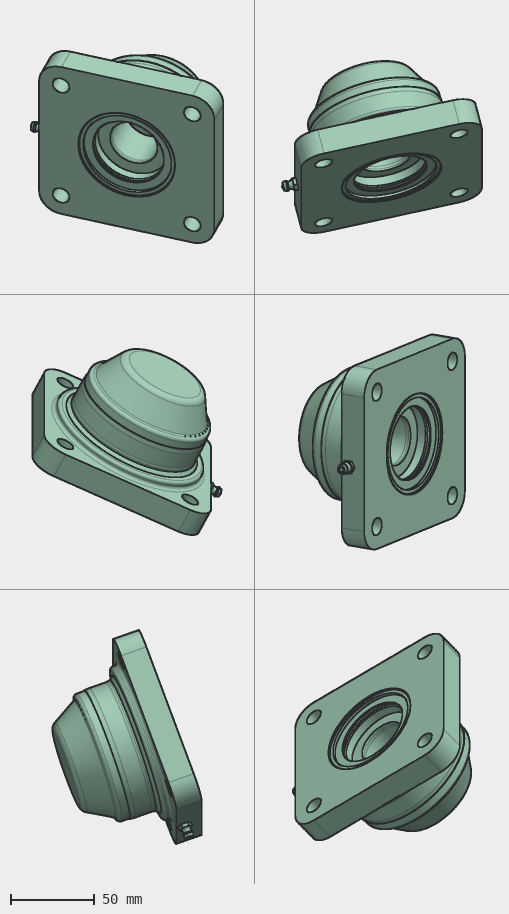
import cadquery as cq
import math


FLANGE_SIDE = 111.0
FLANGE_THICKNESS = 16.1
FLANGE_CORNER_RADIUS = 14.0
BOLT_SPACING = 83.0
BOLT_HOLE_DIAMETER = 10.5

COLLAR_RADIUS = 48.5
COLLAR_END = 21.4
COLLAR_FOOT_FILLET = 2.3
COLLAR_RIM_FILLET = 2.0
BARREL_RADIUS = 41.0
BARREL_TAPER_START = 37.0
BARREL_END = 40.1
BARREL_END_RADIUS = 40.8
BAND_RADIUS = 41.3
BAND_START = 23.6
BAND_EDGE = 25.0
BAND_END = 26.5

SEAT_RADIUS = 30.2
SEAT_CHAMFER = 0.5

SEAL_RIM_DEPTH = 1.0
SEAL_FACE_DEPTH = 2.9
SEAL_BACK_DEPTH = 3.8
SEAL_FACE_RADIUS = 28.0
SEAL_HOLE_RADIUS = 22.5

RING_FRONT = 5.9
RING_MOUTH_RADIUS = SEAL_HOLE_RADIUS
RING_MOUTH_CHAMFER = 0.8
RING_SHOULDER_DEPTH = 12.5
RING_LIP_RADIUS = 15.0
RING_LIP_END = 14.2
RING_BORE_RADIUS = 15.2
RING_BORE_START = 16.1

CAP_RADIUS = 40.5
CAP_SHOULDER = 47.4
CAP_END = 65.8
CAP_CONE_BASE_RADIUS = 37.5
CAP_CONE_ANGLE = 30
CAP_SHOULDER_FILLET = 2.4
CAP_ROOT_FILLET = 1.5
CAP_NOSE_FILLET = 5.4
CAP_SPIGOT_CHAMFER = 2.2

NIPPLE_Y = 10.9
NIPPLE_Z = -3.0
NIPPLE_LENGTH = 120 - FLANGE_SIDE
HEX_ACROSS_FLATS = 7.2
HEX_HEIGHT = 2.3
HEX_CHAMFER_ANGLE = 30
NECK_RADIUS = 2.3
NECK_FOOT_RADIUS = 3.4
HEAD_BACK = 5.4
HEAD_BACK_RADIUS = 2.9
HEAD_RIDGE = 6.4
HEAD_RIDGE_RADIUS = 3.2
HEAD_FRONT = 8.3
HEAD_FRONT_RADIUS = 2.5
TIP_RADIUS = 1.3


def turned(points):
    """Revolve a closed (radius, y) outline about the Y axis."""
    return cq.Workplane("XY").polyline(points).close().revolve(360, (0, 0, 0), (0, 1, 0))


def fillet_circle(body, radius, y, fillet):
    """Round the circular edge of the given radius that lies at height y on the shaft axis."""
    def is_wanted(edge):
        if edge.geomType() != "CIRCLE":
            return False
        same_radius = math.isclose(edge.radius(), radius, abs_tol=0.001)
        return same_radius and math.isclose(edge.arcCenter().y, y, abs_tol=0.001)

    edges = [edge for edge in body.edges().vals() if is_wanted(edge)]
    return cq.Workplane(body.val().fillet(fillet, edges))


def make_flange():
    return (
        cq.Workplane("XZ")
        .rect(FLANGE_SIDE, FLANGE_SIDE)
        .extrude(-FLANGE_THICKNESS)
        .edges("|Y")
        .fillet(FLANGE_CORNER_RADIUS)
    )


def make_boss():
    """Collar, 45 degree shoulder, raised band and slightly tapered barrel, in one turning."""
    shoulder_foot_radius = BAND_RADIUS + BAND_START - COLLAR_END
    return turned([
        (0, 0),
        (COLLAR_RADIUS, 0),
        (COLLAR_RADIUS, COLLAR_END),
        (shoulder_foot_radius, COLLAR_END),
        (BAND_RADIUS, BAND_START),
        (BAND_RADIUS, BAND_EDGE),
        (BARREL_RADIUS, BAND_END),
        (BARREL_RADIUS, BARREL_TAPER_START),
        (BARREL_END_RADIUS, BARREL_END),
        (0, BARREL_END),
    ])


def make_housing():
    housing = make_flange().union(make_boss())
    housing = fillet_circle(housing, COLLAR_RADIUS, FLANGE_THICKNESS, COLLAR_FOOT_FILLET)
    housing = fillet_circle(housing, COLLAR_RADIUS, COLLAR_END, COLLAR_RIM_FILLET)
    seat = turned([
        (0, 0),
        (SEAT_RADIUS + SEAT_CHAMFER, 0),
        (SEAT_RADIUS, SEAT_CHAMFER),
        (SEAT_RADIUS, BARREL_END),
        (0, BARREL_END),
    ])
    bolt_holes = (
        cq.Workplane("XZ")
        .rect(BOLT_SPACING, BOLT_SPACING, forConstruction=True)
        .vertices()
        .circle(BOLT_HOLE_DIAMETER / 2)
        .extrude(-FLANGE_THICKNESS)
    )
    return housing.cut(seat).cut(bolt_holes)


def make_seal():
    """Ring with a raised outer rim around its recessed face."""
    return turned([
        (SEAL_HOLE_RADIUS, SEAL_FACE_DEPTH),
        (SEAL_FACE_RADIUS, SEAL_FACE_DEPTH),
        (SEAL_FACE_RADIUS, SEAL_RIM_DEPTH),
        (SEAT_RADIUS, SEAL_RIM_DEPTH),
        (SEAT_RADIUS, SEAL_BACK_DEPTH),
        (SEAL_HOLE_RADIUS, SEAL_BACK_DEPTH),
    ])


def make_bearing():
    """Ring that fills the seat, with a chamfered mouth, a shoulder and a lip around the through bore."""
    return turned([
        (RING_MOUTH_RADIUS + RING_MOUTH_CHAMFER, RING_FRONT),
        (SEAT_RADIUS, RING_FRONT),
        (SEAT_RADIUS, BARREL_END),
        (RING_BORE_RADIUS, BARREL_END),
        (RING_BORE_RADIUS, RING_BORE_START),
        (RING_LIP_RADIUS, RING_LIP_END),
        (RING_LIP_RADIUS, RING_SHOULDER_DEPTH),
        (RING_MOUTH_RADIUS, RING_SHOULDER_DEPTH),
        (RING_MOUTH_RADIUS, RING_FRONT + RING_MOUTH_CHAMFER),
    ])


def make_cap():
    """Conical cap that closes the bore; its conical spigot enters the end of the bearing bore."""
    cone_height = CAP_END - CAP_SHOULDER
    nose_radius = CAP_CONE_BASE_RADIUS - cone_height * math.tan(math.radians(CAP_CONE_ANGLE))
    spigot_front = BARREL_END - CAP_SPIGOT_CHAMFER
    cap = turned([
        (0, spigot_front),
        (RING_BORE_RADIUS - CAP_SPIGOT_CHAMFER, spigot_front),
        (RING_BORE_RADIUS, BARREL_END),
        (CAP_RADIUS, BARREL_END),
        (CAP_RADIUS, CAP_SHOULDER),
        (CAP_CONE_BASE_RADIUS, CAP_SHOULDER),
        (nose_radius, CAP_END),
        (0, CAP_END),
    ])
    cap = fillet_circle(cap, CAP_CONE_BASE_RADIUS, CAP_SHOULDER, CAP_ROOT_FILLET)
    cap = fillet_circle(cap, nose_radius, CAP_END, CAP_NOSE_FILLET)
    return fillet_circle(cap, CAP_RADIUS, CAP_SHOULDER, CAP_SHOULDER_FILLET)


def make_hexagon():
    """Hexagonal base of the nipple, standing on Z = 0, with its front corners chamfered."""
    inner_radius = HEX_ACROSS_FLATS / 2
    corner_radius = inner_radius / math.cos(math.pi / 6)
    chamfer_drop = (corner_radius - inner_radius) * math.tan(math.radians(HEX_CHAMFER_ANGLE))
    hexagon = cq.Workplane("XY").polygon(6, 2 * corner_radius).extrude(HEX_HEIGHT)
    envelope = (
        cq.Workplane("XZ")
        .polyline([
            (0, 0),
            (corner_radius, 0),
            (corner_radius, HEX_HEIGHT - chamfer_drop),
            (inner_radius, HEX_HEIGHT),
            (0, HEX_HEIGHT),
        ])
        .close()
        .revolve(360, (0, 0, 0), (0, 1, 0))
    )
    return hexagon.intersect(envelope)


def make_nipple_stem():
    """Turned part of the nipple along Z: concave neck, ridged head and domed tip."""
    neck_length = HEAD_BACK - HEX_HEIGHT
    flare = NECK_FOOT_RADIUS - NECK_RADIUS
    arc_radius = (neck_length**2 + flare**2) / (2 * flare)
    half_angle = math.asin(neck_length / arc_radius) / 2
    neck_middle = (
        NECK_RADIUS + arc_radius * (1 - math.cos(half_angle)),
        HEAD_BACK - arc_radius * math.sin(half_angle),
    )
    dome_height = NIPPLE_LENGTH - HEAD_FRONT
    dome_radius = (TIP_RADIUS**2 + dome_height**2) / (2 * dome_height)
    dome_half_angle = math.asin(TIP_RADIUS / dome_radius) / 2
    dome_middle = (
        dome_radius * math.sin(dome_half_angle),
        NIPPLE_LENGTH - dome_radius * (1 - math.cos(dome_half_angle)),
    )
    return (
        cq.Workplane("XZ")
        .moveTo(0, HEX_HEIGHT)
        .lineTo(NECK_FOOT_RADIUS, HEX_HEIGHT)
        .threePointArc(neck_middle, (NECK_RADIUS, HEAD_BACK))
        .lineTo(HEAD_BACK_RADIUS, HEAD_BACK)
        .lineTo(HEAD_RIDGE_RADIUS, HEAD_RIDGE)
        .lineTo(HEAD_FRONT_RADIUS, HEAD_FRONT)
        .lineTo(TIP_RADIUS, HEAD_FRONT)
        .threePointArc(dome_middle, (0, NIPPLE_LENGTH))
        .close()
        .revolve(360, (0, 0, 0), (0, 1, 0))
    )


def make_grease_nipple():
    """Nipple turned to point along -X, two hexagon corners along Y, its base on the flange side."""
    return (
        make_hexagon()
        .union(make_nipple_stem())
        .rotate((0, 0, 0), (0, 0, 1), 90)
        .rotate((0, 0, 0), (0, 1, 0), -90)
        .translate((-FLANGE_SIDE / 2, NIPPLE_Y, NIPPLE_Z))
    )


housing = make_housing()
seal = make_seal()
bearing = make_bearing()
cap = make_cap()
grease_nipple = make_grease_nipple()

result = cq.Compound.makeCompound([
    housing.val(),
    seal.val(),
    bearing.val(),
    cap.val(),
    grease_nipple.val(),
])